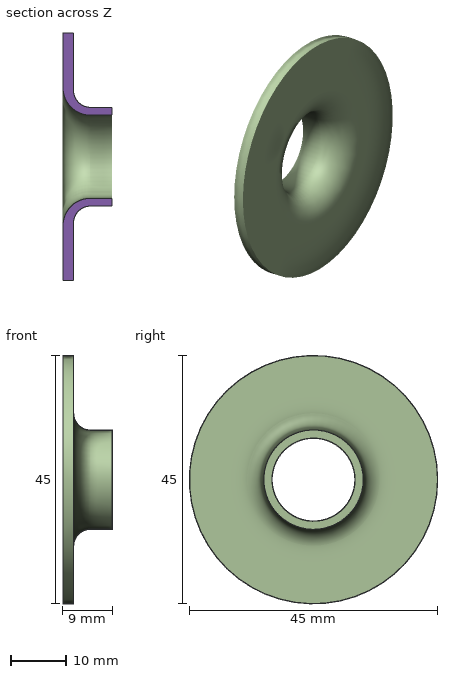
import cadquery as cq
import math

flange_diameter = 45.0
tube_diameter = 18.0
bore_diameter = 15.0
total_length = 9.0
mouth_radius = 5.0
blend_radius = 3.0

tube_start = mouth_radius
flange_thickness = tube_start - blend_radius

flange_r = flange_diameter / 2
tube_r = tube_diameter / 2
bore_r = bore_diameter / 2


def rounding_midpoint(wall_r, radius):
    """Midpoint of the quarter arc that meets the wall at radius wall_r, at the tube start."""
    offset = radius * math.cos(math.radians(45))
    return tube_start - offset, wall_r + radius - offset


half_section = (
    cq.Workplane("XY")
    .moveTo(0, flange_r)
    .lineTo(flange_thickness, flange_r)
    .lineTo(flange_thickness, tube_r + blend_radius)
    .threePointArc(rounding_midpoint(tube_r, blend_radius), (tube_start, tube_r))
    .lineTo(total_length, tube_r)
    .lineTo(total_length, bore_r)
    .lineTo(tube_start, bore_r)
    .threePointArc(rounding_midpoint(bore_r, mouth_radius), (0, bore_r + mouth_radius))
    .close()
)

result = half_section.revolve(360, (0, 0, 0), (1, 0, 0))